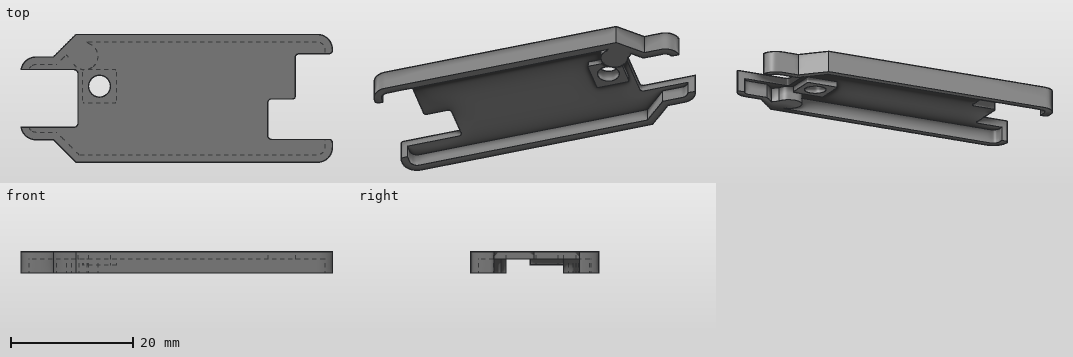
import cadquery as cq
import math

length = 51.1
width = 21.0
height = 3.55
wall = 1.25
end_radius = 2.5

nose_half_width = 6.8
nose_length = 5.35

nose_notch_depth = 9.35
nose_notch_half_width = 4.7
notch_radius = 0.6

step_top = 7.3
step_middle = -0.1
step_bottom = -6.7
shallow_notch_depth = 6.1
deep_notch_depth = 10.6
tip_radius = 0.6
step_radius = 0.45

hole_diameter = 3.55
hole_from_left = 12.9
hole_y = 2.0
boss_side = 5.5
boss_corner_radius = 0.3
boss_bottom_depth = 2.2

post_radius = 2.2
post_x_from_left = 10.45
post_y = 6.9
web_width = 3.9
shoulder_angle = 45

diagonal = math.sqrt(0.5)
left = -length / 2
right = length / 2
half_width = width / 2
shoulder_start = left + nose_length
shoulder_end = shoulder_start + half_width - nose_half_width
plate_bottom = height - wall
hole_x = left + hole_from_left
post_x = left + post_x_from_left


def cover_outline():
    """Closed outline of the cover before the end notches are cut."""
    round_offset = end_radius * (1 - diagonal)
    nose_arc_x = left + end_radius
    nose_arc_y = nose_half_width - end_radius
    end_arc_x = right - end_radius
    end_arc_y = half_width - end_radius
    return (
        cq.Workplane("XY")
        .moveTo(left, -nose_arc_y)
        .lineTo(left, nose_arc_y)
        .threePointArc((left + round_offset, nose_half_width - round_offset), (nose_arc_x, nose_half_width))
        .lineTo(shoulder_start, nose_half_width)
        .lineTo(shoulder_end, half_width)
        .lineTo(end_arc_x, half_width)
        .threePointArc((right - round_offset, half_width - round_offset), (right, end_arc_y))
        .lineTo(right, -end_arc_y)
        .threePointArc((right - round_offset, round_offset - half_width), (end_arc_x, -half_width))
        .lineTo(shoulder_end, -half_width)
        .lineTo(shoulder_start, -nose_half_width)
        .lineTo(nose_arc_x, -nose_half_width)
        .threePointArc((left + round_offset, round_offset - nose_half_width), (left, -nose_arc_y))
        .close()
    )


def hollow_cover():
    """Top plate with a rim of even thickness, open at the bottom."""
    cavity = cover_outline().offset2D(-wall, "intersection").extrude(plate_bottom)
    return cover_outline().extrude(height).cut(cavity)


def hole_boss():
    boss_height = boss_bottom_depth - wall
    return (
        cq.Workplane("XY", origin=(hole_x, hole_y, height - boss_bottom_depth))
        .rect(boss_side, boss_side)
        .extrude(boss_height)
        .edges("|Z")
        .fillet(boss_corner_radius)
    )


def corner_post():
    """Round post with a web running square to the shoulder wall."""
    outside_distance = ((post_x - shoulder_start) - (post_y - nose_half_width)) * diagonal
    wall_middle_distance = outside_distance - wall / 2
    post = cq.Workplane("XY").circle(post_radius).extrude(height)
    web = (
        cq.Workplane("XY")
        .center(-wall_middle_distance / 2, 0)
        .rect(wall_middle_distance, web_width)
        .extrude(height)
    )
    return (
        post.union(web)
        .rotate((0, 0, 0), (0, 0, 1), -shoulder_angle)
        .translate((post_x, post_y, 0))
    )


def nose_notch():
    inner_x = left + nose_notch_depth
    return (
        cq.Workplane("XY")
        .moveTo(left, -nose_notch_half_width)
        .lineTo(inner_x, -nose_notch_half_width)
        .lineTo(inner_x, nose_notch_half_width)
        .lineTo(left, nose_notch_half_width)
        .close()
        .extrude(height)
        .edges("|Z and >X")
        .fillet(notch_radius)
    )


def stepped_notch():
    shallow_x = right - shallow_notch_depth
    deep_x = right - deep_notch_depth
    notch = (
        cq.Workplane("XY")
        .moveTo(right, step_bottom)
        .lineTo(deep_x, step_bottom)
        .lineTo(deep_x, step_middle)
        .lineTo(shallow_x, step_middle)
        .lineTo(shallow_x, step_top)
        .lineTo(right, step_top)
        .close()
        .extrude(height)
    )
    step_corner = cq.selectors.NearestToPointSelector((shallow_x, step_middle, height / 2))
    top_corner = cq.selectors.NearestToPointSelector((shallow_x, step_top, height / 2))
    notch = notch.edges("|Z and <X").fillet(notch_radius)
    notch = notch.edges(top_corner).fillet(notch_radius)
    return notch.edges(step_corner).fillet(step_radius)


def round_arm_tip(body, arm_edge_y):
    """Round the sharp corner of an arm where it meets the stepped notch."""
    tip = cq.selectors.NearestToPointSelector((right, arm_edge_y, height / 2))
    return body.edges("|Z").edges(tip).fillet(tip_radius)


body = hollow_cover().union(hole_boss()).union(corner_post())
body = body.cut(nose_notch()).cut(stepped_notch())
for arm_edge_y in (step_top, step_bottom):
    body = round_arm_tip(body, arm_edge_y)

hole = cq.Workplane("XY").center(hole_x, hole_y).circle(hole_diameter / 2).extrude(height)
result = body.cut(hole)